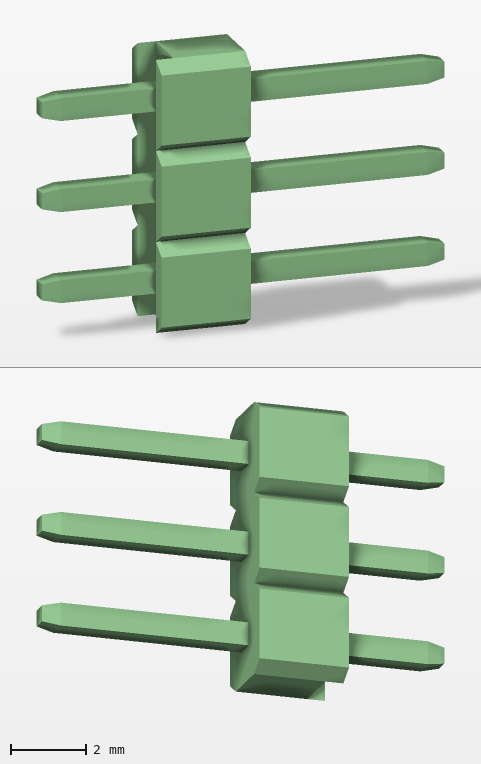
import cadquery as cq

pin_count = 3
housing_height = 7.62
pitch = housing_height / pin_count

housing_width = 2.5
housing_depth = 2.5
core_width = 1.54
channel_depth = 0.5
flange_height = pitch
flange_chamfer = 0.29

pin_length = 11.25
pin_width = 0.64
tip_length = 0.5
tip_width = 0.45

pin_front = -pin_length / 2
housing_front = -2.62
housing_back = housing_front + housing_depth
core_front = housing_front + channel_depth

pin_heights = [(i - (pin_count - 1) / 2) * pitch for i in range(pin_count)]


def make_flange(side, center_z):
    """One tapered side flange; side is -1 for the -X side and +1 for the +X side."""
    inner_x = side * core_width / 2
    outer_x = side * housing_width / 2
    inner_z = flange_height / 2
    outer_z = inner_z - flange_chamfer
    return (
        cq.Workplane("XZ", origin=(0, housing_front, center_z))
        .moveTo(inner_x, -inner_z)
        .lineTo(outer_x, -outer_z)
        .lineTo(outer_x, outer_z)
        .lineTo(inner_x, inner_z)
        .close()
        .extrude(-housing_depth)
    )


def make_tip(end_y, direction):
    """Tapered pin end at end_y; direction is the way along Y the tip points."""
    return (
        cq.Workplane("XZ", origin=(0, end_y - direction * tip_length, 0))
        .rect(pin_width, pin_width)
        .workplane(offset=-direction * tip_length)
        .rect(tip_width, tip_width)
        .loft(ruled=True)
    )


def make_pin(center_z):
    """Square pin with a tapered tip at each end."""
    shaft = cq.Workplane("XY").box(pin_width, pin_length - 2 * tip_length, pin_width)
    front_tip = make_tip(pin_front, -1)
    back_tip = make_tip(-pin_front, 1)
    return shaft.union(front_tip).union(back_tip).translate((0, 0, center_z))


def make_housing(pins):
    """Core block with side flanges at each position and a through hole for each pin."""
    core_depth = housing_back - core_front
    core_center_y = (housing_back + core_front) / 2
    body = cq.Workplane("XY", origin=(0, core_center_y, 0)).box(core_width, core_depth, housing_height)
    for center_z in pin_heights:
        for side in (-1, 1):
            body = body.union(make_flange(side, center_z))
    for pin in pins:
        body = body.cut(pin)
    return body


pins = [make_pin(center_z) for center_z in pin_heights]
housing = make_housing(pins)

result = cq.Compound.makeCompound([housing.solids().val(), *[pin.solids().val() for pin in pins]])